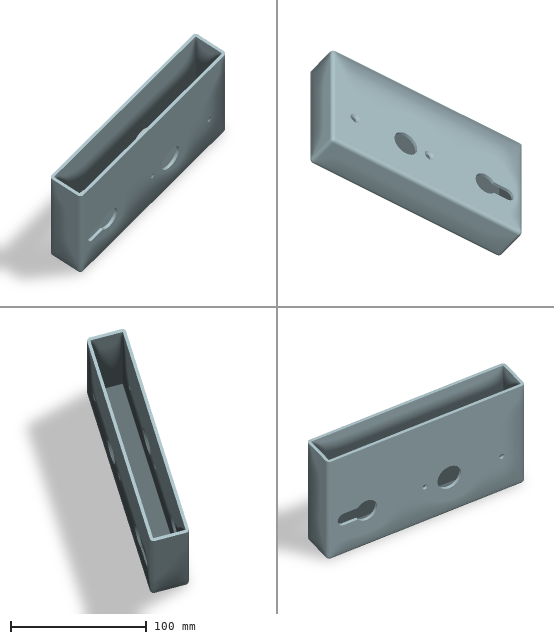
import cadquery as cq

WIDTH = 30.0
LENGTH = 172.0
HEIGHT = 94.0
OUTER_RADIUS = 3.0
INNER_RADIUS = 0.43
WALL = OUTER_RADIUS - INNER_RADIUS

HOLE_LINE_Z = 34.0
ROUND_HOLE_Y = 19.6
ROUND_HOLE_DIAMETER = 20.5
SCREW_HOLE_YS = (65.4, -1.5)
SCREW_HOLE_DIAMETER = 4.3
SCREW_HEAD_DIAMETER = 8.0
COUNTERSINK_DEPTH = (SCREW_HEAD_DIAMETER - SCREW_HOLE_DIAMETER) / 2
KEYHOLE_Y = -52.5
KEYHOLE_DIAMETER = 18.4
KEYHOLE_SLOT_WIDTH = 11.0
KEYHOLE_SLOT_END_Y = -77.4

BOTTOM_Z = -HEIGHT / 2
HOLE_Z = BOTTOM_Z + HOLE_LINE_Z
SCREW_FACE_X = -WIDTH / 2


def rounded_block(width, length, height, radius):
    """Block with its four upright edges and its bottom edges rounded."""
    block = cq.Workplane("XY").box(width, length, height)
    return block.edges("|Z or <Z").fillet(radius)


def open_box():
    """Outer block hollowed from above, with equal walls and floor."""
    outer = rounded_block(WIDTH, LENGTH, HEIGHT, OUTER_RADIUS)
    cavity = rounded_block(WIDTH - 2 * WALL, LENGTH - 2 * WALL, HEIGHT, INNER_RADIUS)
    return outer.cut(cavity.translate((0, 0, WALL)))


def cross_bore(y, diameter):
    """Cylinder running through both large walls."""
    plane = cq.Workplane("YZ", origin=(SCREW_FACE_X, y, HOLE_Z))
    return plane.circle(diameter / 2).extrude(WIDTH)


def screw_hole(y):
    """Through bore with a countersink in the -X wall."""
    sink = cq.Solid.makeCone(
        SCREW_HEAD_DIAMETER / 2,
        SCREW_HOLE_DIAMETER / 2,
        COUNTERSINK_DEPTH,
        pnt=cq.Vector(SCREW_FACE_X, y, HOLE_Z),
        dir=cq.Vector(1, 0, 0),
    )
    return cross_bore(y, SCREW_HOLE_DIAMETER).union(cq.Workplane(sink))


def keyhole():
    """Round opening with a round-ended slot towards -Y."""
    slot_end_centre_y = KEYHOLE_SLOT_END_Y + KEYHOLE_SLOT_WIDTH / 2
    slot_length = KEYHOLE_Y - slot_end_centre_y
    slot = (
        cq.Workplane("XY")
        .box(WIDTH, slot_length, KEYHOLE_SLOT_WIDTH)
        .translate((0, slot_end_centre_y + slot_length / 2, HOLE_Z))
    )
    slot_end = cross_bore(slot_end_centre_y, KEYHOLE_SLOT_WIDTH)
    return cross_bore(KEYHOLE_Y, KEYHOLE_DIAMETER).union(slot).union(slot_end)


result = open_box().cut(cross_bore(ROUND_HOLE_Y, ROUND_HOLE_DIAMETER)).cut(keyhole())
for screw_y in SCREW_HOLE_YS:
    result = result.cut(screw_hole(screw_y))